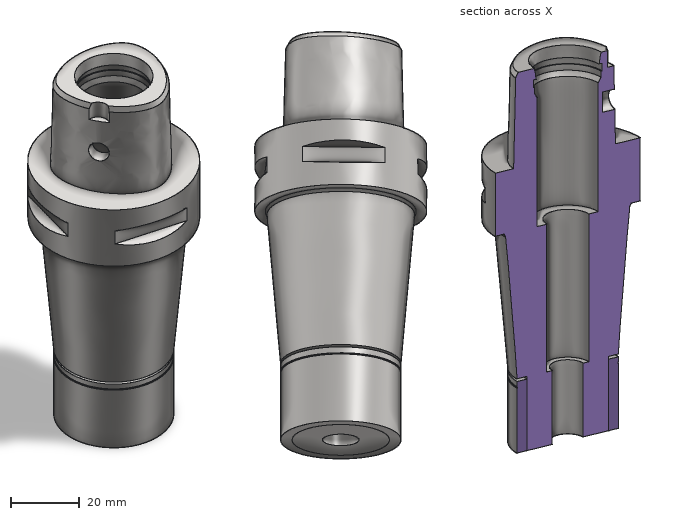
import cadquery as cq
import math

total_height = 120.0
flange_top = 90.0
flange_bottom = 70.0
nut_height = 22.7
clamp_gap = 0.7
cone_bottom = nut_height + clamp_gap

flange_radius = 50.0 / 2
neck_radius = 22.0
cone_top_radius = 21.5
neck_chamfer_height = 1.0
nut_radius = 17.5

shank_base_radius = 17.6
shank_slope = 1 / 40
lobe_offset = 1.05
shank_chamfer_height = 1.5
shank_chamfer_width = 0.8
outline_points = 48

mouth_radius = 11.4
mouth_neck_radius = 10.8
mouth_depth = 3.7
groove_radius = 11.8
groove_end_depth = 6.0
seat_radius = 11.4
seat_depth = 7.9
seat_end_depth = 9.5
main_bore_radius = 10.5
middle_bore_radius = 7.2
through_radius = 5.3
main_bore_depth = total_height - flange_bottom
middle_bore_depth = total_height - cone_bottom

slot_count = 4
first_slot_angle = 45
slot_floor_distance = 22.0
slot_height = 80.2
slot_floor_width = 4.5
slot_mouth_width = 6.8

notch_radius = 3.4
notch_center_y = -17.2
notch_depth = 5.3
side_hole_radius = 3.1
side_hole_height = 104.0
side_hole_floor_y = -12.0

spigot_radius = 14.2
rim_height = 1.8
nut_groove_depth = 0.1
nut_groove_width = 0.4
rim_bottom = nut_height - rim_height


def lobed_wire(mean_radius, height):
    """Closed three-lobed outline of constant width at the given height."""
    points = []
    for index in range(outline_points):
        angle = 2 * math.pi * index / outline_points
        along = mean_radius * math.cos(angle) + lobe_offset * (2 * math.cos(2 * angle) - math.cos(4 * angle))
        across = mean_radius * math.sin(angle) - lobe_offset * (2 * math.sin(2 * angle) + math.sin(4 * angle))
        points.append(cq.Vector(-across, along, height))
    return cq.Wire.assembleEdges([cq.Edge.makeSpline(points, periodic=True)])


def make_shank():
    """Tapered polygonal shank with a chamfered top edge."""
    chamfer_start = total_height - shank_chamfer_height
    chamfer_radius = shank_base_radius - shank_slope * (chamfer_start - flange_top)
    base = lobed_wire(shank_base_radius, flange_top)
    shoulder = lobed_wire(chamfer_radius, chamfer_start)
    top = lobed_wire(chamfer_radius - shank_chamfer_width, total_height)
    taper = cq.Workplane(cq.Solid.makeLoft([base, shoulder], True))
    chamfer = cq.Workplane(cq.Solid.makeLoft([shoulder, top], True))
    return taper.union(chamfer)


def make_turned_body():
    """Flange, cone and spigot revolved about Z."""
    profile = [
        (0, 0),
        (spigot_radius, 0),
        (spigot_radius, cone_bottom),
        (nut_radius, cone_bottom),
        (cone_top_radius, flange_bottom - neck_chamfer_height),
        (neck_radius, flange_bottom),
        (flange_radius, flange_bottom),
        (flange_radius, flange_top),
        (0, flange_top),
    ]
    return cq.Workplane("XZ").polyline(profile).close().revolve(360, (0, 0), (0, 1))


def make_bore():
    """Stepped through bore with a tapered mouth, an undercut groove and a conical seat."""
    profile = [
        (0, 0),
        (through_radius, 0),
        (through_radius, total_height - middle_bore_depth),
        (middle_bore_radius, total_height - middle_bore_depth),
        (middle_bore_radius, total_height - main_bore_depth),
        (main_bore_radius, total_height - main_bore_depth),
        (main_bore_radius, total_height - seat_end_depth),
        (seat_radius, total_height - seat_depth),
        (seat_radius, total_height - groove_end_depth),
        (groove_radius, total_height - groove_end_depth),
        (groove_radius, total_height - mouth_depth),
        (mouth_neck_radius, total_height - mouth_depth),
        (mouth_radius, total_height),
        (0, total_height),
    ]
    return cq.Workplane("XZ").polyline(profile).close().revolve(360, (0, 0), (0, 1))


def make_grip_slot(angle):
    """Straight slot with flared sides, cut across the flange rim."""
    profile = [
        (slot_floor_distance, slot_height - slot_floor_width / 2),
        (flange_radius, slot_height - slot_mouth_width / 2),
        (flange_radius, slot_height + slot_mouth_width / 2),
        (slot_floor_distance, slot_height + slot_floor_width / 2),
    ]
    slot = cq.Workplane("XZ").polyline(profile).close().extrude(flange_radius, both=True)
    return slot.rotate((0, 0, 0), (0, 0, 1), angle)


def make_notch():
    """Round-backed orientation notch in the shank's top edge."""
    start = cq.Workplane("XY", origin=(0, notch_center_y, total_height - notch_depth))
    return start.circle(notch_radius).extrude(notch_depth)


def make_side_hole():
    """Flat-bottomed hole entering the shank from -Y."""
    start = cq.Workplane("XZ", origin=(0, side_hole_floor_y, side_hole_height))
    return start.circle(side_hole_radius).extrude(shank_base_radius + side_hole_floor_y)


def make_holder():
    holder = make_turned_body().union(make_shank()).cut(make_bore())
    for index in range(slot_count):
        holder = holder.cut(make_grip_slot(first_slot_angle + index * 360 / slot_count))
    return holder.cut(make_notch()).cut(make_side_hole())


def make_nut():
    """Sleeve around the spigot, with a shallow groove below its upper rim."""
    profile = [
        (spigot_radius, 0),
        (nut_radius, 0),
        (nut_radius, rim_bottom - nut_groove_width),
        (nut_radius - nut_groove_depth, rim_bottom - nut_groove_width),
        (nut_radius - nut_groove_depth, rim_bottom),
        (nut_radius, rim_bottom),
        (nut_radius, nut_height),
        (spigot_radius, nut_height),
    ]
    return cq.Workplane("XZ").polyline(profile).close().revolve(360, (0, 0), (0, 1))


holder = make_holder()
nut = make_nut()
result = cq.Compound.makeCompound([holder.val(), nut.val()])